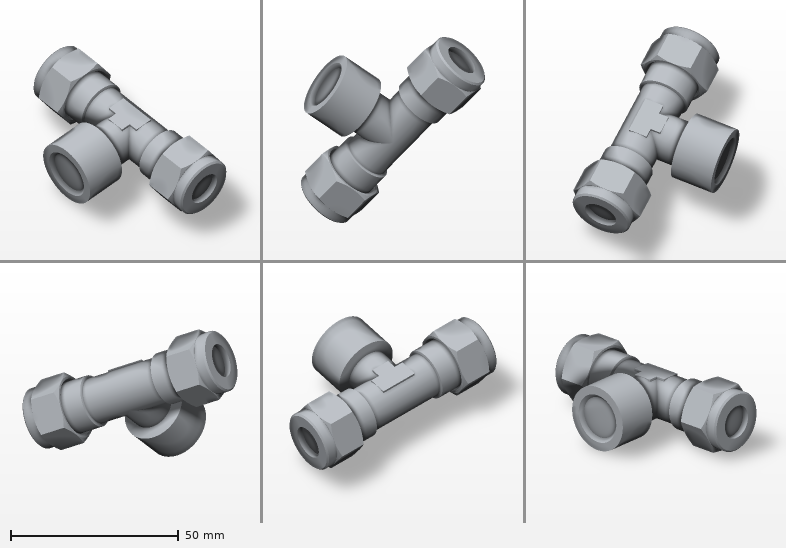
import cadquery as cq
import math

run_half_length = 32.5
branch_length = 26.0
body_radius = 7.0
shoulder_slope = math.tan(math.radians(15.0))

sleeve_radius = 8.0
sleeve_inner_x = 12.3

nut_across_flats = 19.05
nut_inner_x = 19.2
nut_outer_x = 29.0
nut_middle_x = (nut_inner_x + nut_outer_x) / 2
nut_flat_radius = nut_across_flats / 2
nut_corner_radius = nut_across_flats / math.sqrt(3)
nut_chamfer_slope = math.tan(math.radians(30.0))

countersink_radius = 8.8
countersink_depth = countersink_radius - sleeve_radius

cap_radius = 9.4
cap_chamfer = 0.5
run_bore_radius = 5.15
run_bore_depth = 2.0

socket_diameter = 20.5
socket_radius = socket_diameter / 2
socket_start = 12.0
socket_mouth_radius = 7.6
socket_floor_radius = 6.45
socket_floor = branch_length - (socket_mouth_radius - socket_floor_radius)

pad_top_z = 7.15
pad_bar_width = 11.95
pad_bar_height = 5.85
pad_stem_width = pad_bar_width / 2
pad_stem_end = 6.05


def x_cylinder(radius, start, end):
    """Cylinder along X from x = start to x = end."""
    return cq.Workplane("YZ", origin=(start, 0, 0)).circle(radius).extrude(end - start)


def x_revolve(profile):
    """Solid of revolution about X from (x, radius) points."""
    return cq.Workplane("XY").polyline(profile).close().revolve(360, (0, 0), (1, 0))


def branch_revolve(profile):
    """Solid of revolution about Y from (distance toward -Y, radius) points."""
    points = [(radius, -distance) for distance, radius in profile]
    return cq.Workplane("XY").polyline(points).close().revolve(360, (0, 0), (0, 1))


def make_body():
    """Tee body: run and branch cylinders of equal radius."""
    run = x_cylinder(body_radius, -nut_inner_x, nut_inner_x)
    branch = cq.Workplane("XZ").circle(body_radius).extrude(branch_length)
    return run.union(branch)


def make_sleeve():
    """Sleeve on the +X side, sloping down to the body at its inner end."""
    shoulder_length = (sleeve_radius - body_radius) * shoulder_slope
    return x_revolve([
        (sleeve_inner_x, 0),
        (sleeve_inner_x, body_radius),
        (sleeve_inner_x + shoulder_length, sleeve_radius),
        (nut_middle_x, sleeve_radius),
        (nut_middle_x, 0),
    ])


def make_hexagon():
    """Hexagon with flats facing +Z and -Z and cone-chamfered corners at both ends."""
    chamfer_length = (nut_corner_radius - nut_flat_radius) * nut_chamfer_slope
    prism = (
        cq.Workplane("YZ", origin=(nut_inner_x, 0, 0))
        .polygon(6, 2 * nut_corner_radius)
        .extrude(nut_outer_x - nut_inner_x)
    )
    envelope = x_revolve([
        (nut_inner_x, 0),
        (nut_inner_x, nut_flat_radius),
        (nut_inner_x + chamfer_length, nut_corner_radius),
        (nut_outer_x - chamfer_length, nut_corner_radius),
        (nut_outer_x, nut_flat_radius),
        (nut_outer_x, 0),
    ])
    return prism.intersect(envelope)


def make_nut():
    """Hexagon with its round end cap, countersunk on the inner face."""
    cap = x_cylinder(cap_radius, nut_middle_x, run_half_length).faces(">X").chamfer(cap_chamfer)
    countersink = x_revolve([
        (nut_inner_x, 0),
        (nut_inner_x, countersink_radius),
        (nut_inner_x + countersink_depth, sleeve_radius),
        (nut_inner_x + countersink_depth, 0),
    ])
    return make_hexagon().union(cap).cut(countersink)


def make_run_end():
    """Sleeve and bored nut on the +X side."""
    bore = x_cylinder(run_bore_radius, run_half_length - run_bore_depth, run_half_length)
    return make_nut().union(make_sleeve()).cut(bore)


def make_socket():
    """Branch head with a sloping shoulder."""
    shoulder_length = (socket_radius - body_radius) * shoulder_slope
    return branch_revolve([
        (socket_start, 0),
        (socket_start, body_radius),
        (socket_start + shoulder_length, socket_radius),
        (branch_length, socket_radius),
        (branch_length, 0),
    ])


def make_socket_recess():
    """Conical recess in the end of the branch."""
    return branch_revolve([
        (socket_floor, 0),
        (socket_floor, socket_floor_radius),
        (branch_length, socket_mouth_radius),
        (branch_length, 0),
    ])


def make_pad():
    """T-shaped pad rising from the run axis to just above the body."""
    bar = cq.Workplane("XY").rect(pad_bar_width, pad_bar_height).extrude(pad_top_z)
    stem = (
        cq.Workplane("XY")
        .center(0, -pad_stem_end / 2)
        .rect(pad_stem_width, pad_stem_end)
        .extrude(pad_top_z)
    )
    return bar.union(stem)


run_end = make_run_end()
result = (
    make_body()
    .union(make_socket())
    .union(make_pad())
    .cut(make_socket_recess())
    .union(run_end)
    .union(run_end.mirror("YZ"))
)